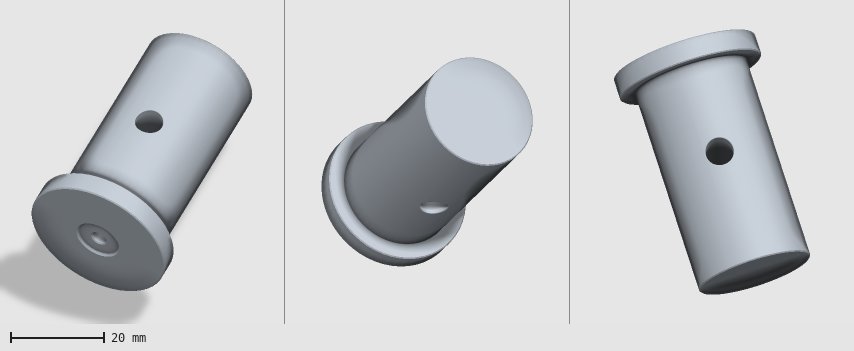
import cadquery as cq
import math

total_length = 50.0
body_diameter = 25.0
flange_diameter = 31.75
flange_thickness = 4.75
edge_chamfer = 0.25
root_fillet = 0.1

recess_rim_diameter = 10.2
recess_floor_diameter = 9.2
recess_depth = 0.5

pilot_diameter = 3.3
pilot_rim_diameter = 3.8
pilot_depth = 10.0
drill_point_angle = 118.0

cross_hole_diameter = 6.0
cross_hole_edge_radius = 0.15
cross_hole_y = total_length / 2


def cone_along_y(start_y, start_diameter, end_diameter, length):
    """Cone frustum on the part axis, or a full cone when end_diameter is zero."""
    profile = (
        cq.Workplane("XY")
        .moveTo(0, start_y)
        .lineTo(start_diameter / 2, start_y)
        .lineTo(end_diameter / 2, start_y + length)
    )
    if end_diameter > 0:
        profile = profile.lineTo(0, start_y + length)
    return profile.close().revolve(360, (0, 0, 0), (0, 1, 0))


def cylinder_along_y(start_y, diameter, length):
    """Cylinder on the part axis that runs from start_y toward +Y."""
    return cq.Workplane("XZ", origin=(0, start_y, 0)).circle(diameter / 2).extrude(-length)


def make_flanged_body():
    flange = cylinder_along_y(0, flange_diameter, flange_thickness)
    flange = flange.edges().chamfer(edge_chamfer)
    body = cylinder_along_y(flange_thickness, body_diameter, total_length - flange_thickness)
    body = body.faces(">Y").edges().chamfer(edge_chamfer)
    pin = flange.union(body)
    root_selector = cq.selectors.BoxSelector(
        (-body_diameter, flange_thickness - edge_chamfer / 2, -body_diameter),
        (body_diameter, flange_thickness + edge_chamfer / 2, body_diameter),
    )
    root_edge = pin.edges(root_selector).edges(cq.selectors.RadiusNthSelector(0))
    return root_edge.fillet(root_fillet)


def make_face_hole():
    recess = cone_along_y(0, recess_rim_diameter, recess_floor_diameter, recess_depth)
    rim_depth = (pilot_rim_diameter - pilot_diameter) / 2
    rim = cone_along_y(recess_depth, pilot_rim_diameter, pilot_diameter, rim_depth)
    drill = cylinder_along_y(recess_depth, pilot_diameter, pilot_depth)
    point_length = pilot_diameter / 2 / math.tan(math.radians(drill_point_angle / 2))
    point = cone_along_y(recess_depth + pilot_depth, pilot_diameter, 0, point_length)
    return recess.union(rim).union(drill).union(point)


def make_cross_hole():
    return (
        cq.Workplane("XY", origin=(0, cross_hole_y, 0))
        .circle(cross_hole_diameter / 2)
        .extrude(body_diameter, both=True)
    )


def round_cross_hole_edges(part):
    """Round the saddle-shaped mouths of the cross hole at +Z and -Z."""
    reach = cross_hole_diameter
    around_hole = cq.selectors.BoxSelector(
        (-reach, cross_hole_y - reach, -body_diameter),
        (reach, cross_hole_y + reach, body_diameter),
        boundingbox=True,
    )
    mouths = part.edges(around_hole).edges("not |Z")
    return mouths.fillet(cross_hole_edge_radius)


part = make_flanged_body().cut(make_face_hole()).cut(make_cross_hole())
result = round_cross_hole_edges(part)